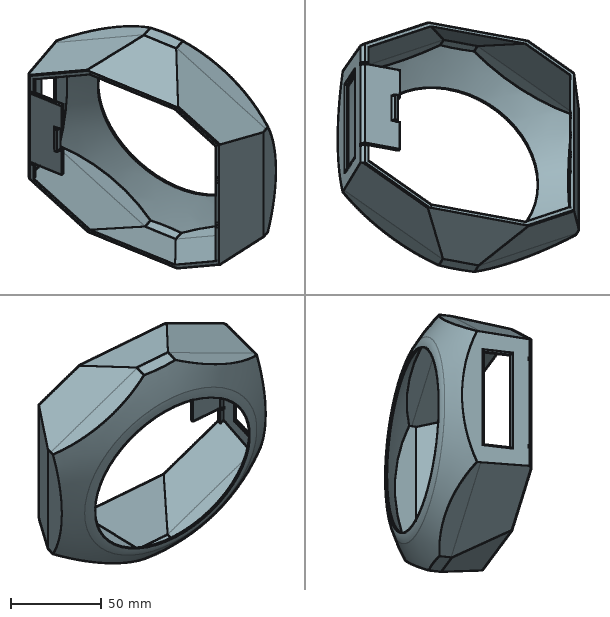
import cadquery as cq
import math

HALF_WIDTH = 68.6
HALF_HEIGHT = 73.1
BACK_Y = 49.5
SIDE_ANGLES = (60, -60)
WALL = 2.0
OPENING_RADIUS = 104.0 / 2

ROOF_BREAK_Y = 29.5
ROOF_FRONT_HALF = 60.7
RIGHT_BREAK_Y = 27.0
RIGHT_FRONT_X = 56.3
SLANT_BREAK_Y = 30.0
SLANT_FRONT_HALF = 67.5
SLANT_FRONT_WALL = 2.9
SLANT_CHAMFER = 0.5
LEFT_CHAMFER_X = 1.9
LEFT_CHAMFER_Y = 1.6

DOME_RADIUS = 117.0
DOME_EDGE_RADIUS = 58.0
DOME_EDGE_Y = 47.7
DOME_CENTER_Y = DOME_EDGE_Y - math.sqrt(DOME_RADIUS**2 - DOME_EDGE_RADIUS**2)

LIP_OUTER_X = -HALF_WIDTH + LEFT_CHAMFER_X
LIP_WIDTH = 2.3
LIP_DEPTH = 2.2
TAB_HALF = 25.9
TAB_END_X = -46.1
TAB_THICKNESS = 1.9
SLOT_WIDTH = 1.3
HOOK_HALF = 8.2
HOOK_START_X = -50.9
HOOK_TIP_X = -49.6
HOOK_END_X = -47.8
HOOK_HEIGHT = 1.8

WINDOW_Y = 20.0
WINDOW_DEPTH = 17.5
WINDOW_HEIGHT = 58.1
WINDOW_CHAMFER = 1.0

CATCH_HALF = 19.9
CATCH_START_Y = 0.7
CATCH_END_Y = 1.8
CATCH_CUT = 0.5

REACH = 102.4


def block(x_range, y_range, z_range):
    size = [high - low for low, high in (x_range, y_range, z_range)]
    corner = (x_range[0], y_range[0], z_range[0])
    return cq.Workplane("XY").box(*size, centered=False).translate(corner)


def prism(points, half_length):
    """Extrude an outline drawn in X and Y equally to both sides along Z."""
    return cq.Workplane("XY").polyline(points).close().extrude(half_length, both=True)


def mirrored_prism(right_side):
    """Prism whose outline is the given right side and its mirror image in X."""
    left_side = [(-x, y) for x, y in reversed(right_side)]
    return prism(right_side + left_side, REACH)


def left_right_prism(inset):
    lean = math.atan2(HALF_WIDTH - RIGHT_FRONT_X, RIGHT_BREAK_Y)
    break_y = RIGHT_BREAK_Y + inset * math.tan(lean / 2)
    front_x = RIGHT_FRONT_X - inset / math.cos(lean)
    right_x = HALF_WIDTH - inset
    outline = [
        (-right_x, 0),
        (front_x, 0),
        (right_x, break_y),
        (right_x, REACH),
        (-right_x, REACH),
    ]
    return prism(outline, REACH)


def top_bottom_prism(inset):
    lean = math.atan2(HALF_HEIGHT - ROOF_FRONT_HALF, ROOF_BREAK_Y)
    break_y = ROOF_BREAK_Y + inset * math.tan(lean / 2)
    front = ROOF_FRONT_HALF - inset / math.cos(lean)
    height = HALF_HEIGHT - inset
    sides = mirrored_prism([(front, 0), (height, break_y), (height, REACH)])
    return sides.rotate((0, 0, 0), (0, 1, 0), 90)


def slanted_prism(inset, front_inset, angle):
    front = SLANT_FRONT_HALF - front_inset
    width = HALF_WIDTH - inset
    sides = mirrored_prism([(front, 0), (width, SLANT_BREAK_Y), (width, REACH)])
    return sides.rotate((0, 0, 0), (0, 1, 0), angle)


def envelope(inset, front_inset):
    """Flat sides of the body, moved inward by the inset."""
    body = left_right_prism(inset).intersect(top_bottom_prism(inset))
    for angle in SIDE_ANGLES:
        body = body.intersect(slanted_prism(inset, front_inset, angle))
    return body


def outer_dome():
    """Dome about Y with a tangent round-over that ends flat at the opening."""
    def dome_point(radius):
        return (radius, DOME_CENTER_Y + math.sqrt(DOME_RADIUS**2 - radius**2))

    middle_radius = (REACH + DOME_EDGE_RADIUS) / 2
    return (
        cq.Workplane("XY")
        .lineTo(REACH, 0)
        .lineTo(*dome_point(REACH))
        .threePointArc(dome_point(middle_radius), dome_point(DOME_EDGE_RADIUS))
        .tangentArcPoint((OPENING_RADIUS, BACK_Y), relative=False)
        .lineTo(0, BACK_Y)
        .close()
        .revolve(360, (0, 0, 0), (0, 1, 0))
    )


def front_chamfers():
    """Material removed along the left and slanted edges of the front rim."""
    cutter = prism([(-HALF_WIDTH, 0), (LIP_OUTER_X, 0), (-HALF_WIDTH, LEFT_CHAMFER_Y)], REACH)
    edge = prism(
        [
            (SLANT_FRONT_HALF - SLANT_CHAMFER, 0),
            (SLANT_FRONT_HALF + SLANT_CHAMFER, 0),
            (SLANT_FRONT_HALF + SLANT_CHAMFER, 2 * SLANT_CHAMFER),
        ],
        REACH,
    )
    for angle in SIDE_ANGLES:
        for turn in (angle, angle + 180):
            cutter = cutter.union(edge.rotate((0, 0, 0), (0, 1, 0), turn))
    return cutter


def shell():
    inner_dome = cq.Workplane("XY").sphere(DOME_RADIUS - WALL).translate((0, DOME_CENTER_Y, 0))
    cavity = envelope(WALL, SLANT_FRONT_WALL).intersect(inner_dome)
    lip_x = LIP_OUTER_X + LIP_WIDTH
    cavity = cavity.cut(block((-REACH, lip_x), (0, LIP_DEPTH), (-REACH, REACH)))
    opening = cq.Workplane("XZ").circle(OPENING_RADIUS).extrude(-REACH)
    body = envelope(0, 0).intersect(outer_dome())
    return body.cut(front_chamfers()).cut(cavity).cut(opening)


def spring_tab():
    """Flat tab on the left lip, notched at its end around a sloped hook."""
    plate = block((LIP_OUTER_X, TAB_END_X), (0, TAB_THICKNESS), (-TAB_HALF, TAB_HALF))
    notch = block((HOOK_END_X, TAB_END_X), (0, TAB_THICKNESS), (-HOOK_HALF, HOOK_HALF))
    hook = prism(
        [
            (HOOK_START_X, TAB_THICKNESS),
            (HOOK_START_X, 0),
            (HOOK_TIP_X, -HOOK_HEIGHT),
            (HOOK_END_X, -HOOK_HEIGHT),
            (HOOK_END_X, TAB_THICKNESS),
        ],
        HOOK_HALF,
    )
    return plate.cut(notch).union(hook)


def tab_slots():
    """Slots through the left rim above and below the tab."""
    slot = block((-REACH, TAB_END_X), (0, LIP_DEPTH), (TAB_HALF, TAB_HALF + SLOT_WIDTH))
    return slot.union(slot.mirror("XY"))


def window():
    """Rectangular opening through the left wall, chamfered on the outside."""
    flare = (
        cq.Workplane("YZ", origin=(-HALF_WIDTH, WINDOW_Y, 0))
        .rect(WINDOW_DEPTH, WINDOW_HEIGHT)
        .workplane(offset=WINDOW_CHAMFER)
        .rect(WINDOW_DEPTH - 2 * WINDOW_CHAMFER, WINDOW_HEIGHT - 2 * WINDOW_CHAMFER)
        .loft()
    )
    return flare.faces(">X").wires().toPending().workplane().extrude(2 * WALL)


def catch_groove():
    """Groove that follows the lean of the right wall just behind the rim."""
    slope = (HALF_WIDTH - RIGHT_FRONT_X) / RIGHT_BREAK_Y
    wall_x = RIGHT_FRONT_X - WALL / math.cos(math.atan(slope))
    start_x = wall_x + slope * CATCH_START_Y
    end_x = wall_x + slope * CATCH_END_Y
    return prism(
        [
            (start_x - CATCH_CUT, CATCH_START_Y),
            (start_x + CATCH_CUT, CATCH_START_Y),
            (end_x + CATCH_CUT, CATCH_END_Y),
            (end_x - CATCH_CUT, CATCH_END_Y),
        ],
        CATCH_HALF,
    )


result = shell().cut(tab_slots()).union(spring_tab()).cut(window()).cut(catch_groove())